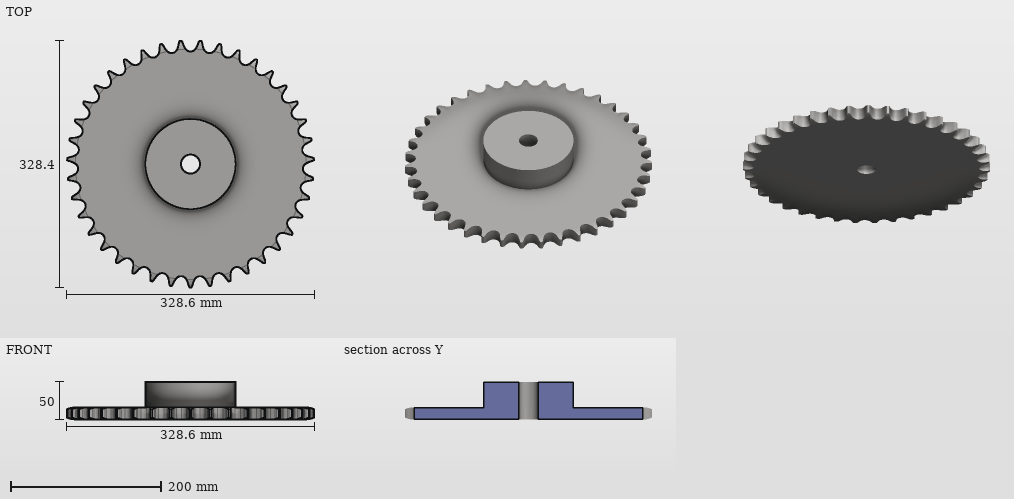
import cadquery as cq
import math

teeth = 39
chain_pitch = 25.4
roller_diameter = 15.88

tip_diameter = 328.8
rim_thickness = 16.2
total_height = 50.0
hub_diameter = 120.0
bore_diameter = 25.0

seat_clearance = 0.038
seat_radius = 0.5025 * roller_diameter + seat_clearance
working_center_offset = 0.8 * roller_diameter
topping_center_offset = 1.4 * roller_diameter
working_radius = seat_radius + working_center_offset
seat_end_angle = math.radians(35 + 60 / teeth)
working_sweep = math.radians(18 - 56 / teeth)
topping_angle = math.radians(17 - 64 / teeth)

gap_overreach = 1.0

relief_radius = chain_pitch
relief_depth = 0.1 * chain_pitch

tooth_step = 360 / teeth
pitch_radius = chain_pitch / (2 * math.sin(math.pi / teeth))
tip_radius = tip_diameter / 2
relief_length = math.sqrt(relief_depth * (2 * relief_radius - relief_depth))


def make_rim_blank():
    """Toothless disc whose edge is rounded over on both faces."""
    relief_start = tip_radius - relief_length
    sweep = math.asin(relief_length / relief_radius)
    mid_r = relief_start + relief_radius * math.sin(sweep / 2)
    mid_drop = relief_radius * (1 - math.cos(sweep / 2))
    return (
        cq.Workplane("XZ")
        .lineTo(relief_start, 0)
        .threePointArc((mid_r, mid_drop), (tip_radius, relief_depth))
        .lineTo(tip_radius, rim_thickness - relief_depth)
        .threePointArc((mid_r, rim_thickness - mid_drop), (relief_start, rim_thickness))
        .lineTo(0, rim_thickness)
        .close()
        .revolve(360, (0, 0, 0), (0, 1, 0))
    )


def polar_point(center, radius, angle):
    """Point on a circle, with the angle measured from +X in radians."""
    return (center[0] + radius * math.cos(angle), center[1] + radius * math.sin(angle))


def make_half_gap():
    """Right half of the gap centred on +Y, reaching just beyond the tooth tips."""
    roller_center = (0, pitch_radius)
    seat_bottom = (0, pitch_radius - seat_radius)
    seat_mid = polar_point(roller_center, seat_radius, -(seat_end_angle + math.pi / 2) / 2)
    seat_end = polar_point(roller_center, seat_radius, -seat_end_angle)

    working_center = polar_point(roller_center, working_center_offset, math.pi - seat_end_angle)
    flank_angle = seat_end_angle - working_sweep
    working_mid = polar_point(working_center, working_radius, -seat_end_angle + working_sweep / 2)
    working_end = polar_point(working_center, working_radius, -flank_angle)

    straight_length = topping_center_offset * math.sin(topping_angle)
    straight_length -= working_center_offset * math.sin(working_sweep)
    straight_end = polar_point(working_end, straight_length, math.pi / 2 - flank_angle)

    topping_center = polar_point(roller_center, topping_center_offset, -math.pi / teeth)
    topping_radius = math.dist(topping_center, straight_end)

    def topping_point(y):
        rise = y - topping_center[1]
        return (topping_center[0] - math.sqrt(topping_radius**2 - rise**2), y)

    top_y = tip_radius + gap_overreach
    return (
        cq.Workplane("XY")
        .moveTo(*seat_bottom)
        .threePointArc(seat_mid, seat_end)
        .threePointArc(working_mid, working_end)
        .lineTo(*straight_end)
        .threePointArc(topping_point((straight_end[1] + top_y) / 2), topping_point(top_y))
        .lineTo(0, top_y)
        .close()
        .extrude(rim_thickness)
    )


def make_tooth_gap():
    """Cutter for one whole gap: the half gap and its mirror image."""
    half_gap = make_half_gap()
    return half_gap.union(half_gap.mirror("YZ"), clean=False)


def make_toothed_rim():
    """Rim blank with the gap repeated around it; one gap is centred on +Y."""
    gap = make_tooth_gap().val()
    axis_start = cq.Vector(0, 0, 0)
    axis_end = cq.Vector(0, 0, 1)
    gaps = [gap.rotate(axis_start, axis_end, index * tooth_step) for index in range(teeth)]
    return cq.Workplane(obj=make_rim_blank().val().cut(*gaps))


def make_hub():
    """Plain round hub rising from the underside of the rim."""
    return cq.Workplane("XY").circle(hub_diameter / 2).extrude(total_height)


def make_bore():
    """Round bore through the full height."""
    return cq.Workplane("XY").circle(bore_diameter / 2).extrude(total_height)


result = make_toothed_rim().union(make_hub(), clean=False).cut(make_bore(), clean=False)